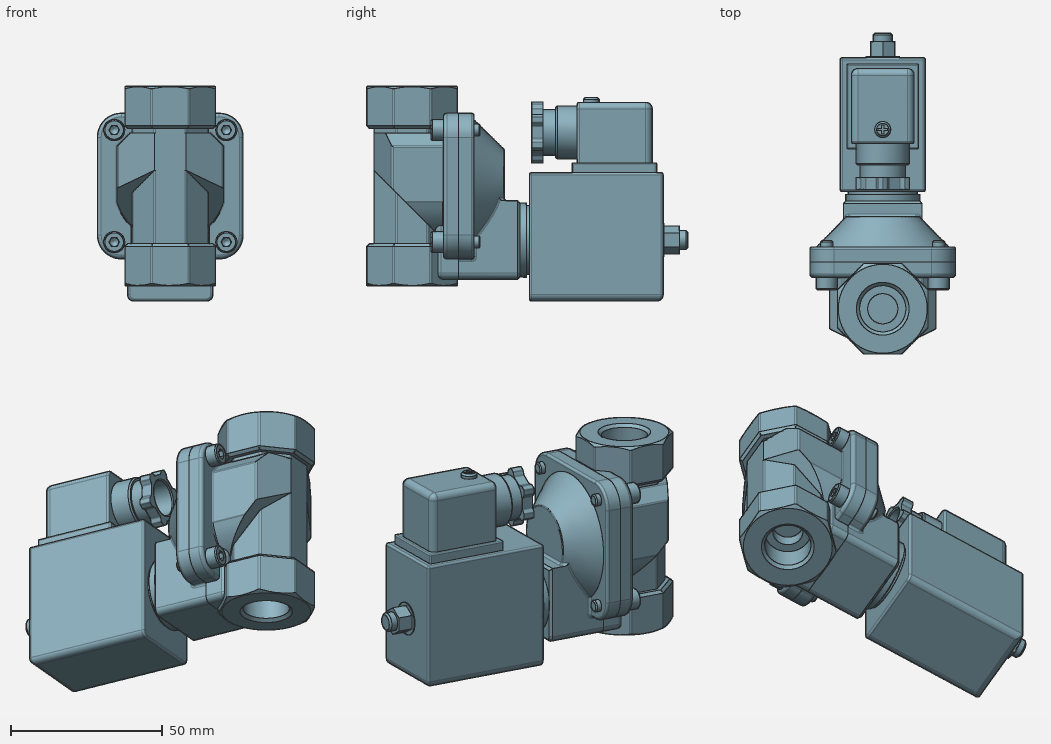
import cadquery as cq
import math


OVERALL_LENGTH = 106
OVERALL_HEIGHT = 70.9

HEXAGON_SIDES = 6

SELECT_TOLERANCE = 0.01

PORT_HALF_LENGTH = 33.0
PORT_FLATS = 30.0
PORT_SIDES = 8
PORT_END_LENGTH = 14.0
PORT_EDGE_ROUND = 1.0
PORT_INNER_CHAMFER = 1.0
PORT_FACE_DIAMETER = 29.4
PORT_TURNING_ANGLE = 30
PORT_BORE = 15.3
PORT_BORE_CHAMFER = 1.1
PORT_BORE_DEPTH = 10.0
PASSAGE_DIAMETER = 10.0
PASSAGE_DEPTH = 14.9
COLUMN_FLATS = 25.2
COLUMN_EDGE_ROUND = 1.0

CHAMBER_HALF_WIDTH = 17.6
CHAMBER_TOP = 17.6
CHAMBER_CHAMFER = 4.5
CHAMBER_RADIUS = 18.3
CHAMBER_EDGE_ROUND = 0.8
CHAMBER_ROOT_FILLET = 0.3
CHAMBER_SHOULDER_Y = -6.7
CHAMBER_SLOPE_OFFSET = 7.4

FLANGE_WIDTH = 48.1
FLANGE_CORNER = 8.0
BODY_FLANGE_ROUND = 1.3
BONNET_FLANGE_ROUND = 0.8
BODY_FLANGE_FRONT = 10.3
PARTING_Y = 15.4
BONNET_FLANGE_BACK = 20.5

BOLT_SPACING = 37.0
BOLT_SHANK = 4.0
BOLT_TIP_Y = 22.5
BOLT_TIP_CHAMFER = 0.4
BOLT_HEAD_DIAMETER = 7.0
BOLT_HEAD_HEIGHT = 4.0
BOLT_HEAD_CHAMFER = 0.4
SOCKET_FLATS = 3.0
SOCKET_DEPTH = 2.0
SOCKET_POINT_ANGLE = 30

CONE_BASE_RADIUS = 21.8
CONE_TOP_RADIUS = 12.1
CONE_TOP_Y = 30.4
CONE_TOP_ROUND = 0.6
PILOT_FILLET = 0.8
PILOT_SIZE = 26.0
PILOT_BACK = 35.6
PILOT_FRONT = 7.6
PILOT_CORNER = 2.1
PILOT_NOSE_ROUND = 1.9
PILOT_EDGE_CHAMFER = 0.8
SOLENOID_Z = -17.8
COLLAR_DIAMETER = 24.6
COLLAR_LENGTH = 2.1
COLLAR_NECK_DIAMETER = 22.9
STUD_DIAMETER = 6.4
STUD_END_CHAMFER = 0.6
STUD_END = OVERALL_LENGTH - PORT_FLATS / 2

COIL_FRONT = 38.7
COIL_BACK = 82.9
COIL_HALF_WIDTH = 14.1
COIL_TOP = 4.5
COIL_BOTTOM = PORT_HALF_LENGTH - OVERALL_HEIGHT
COIL_EDGE_ROUND = 0.7
COIL_BOTTOM_ROUND = 2.1

WASHER_DIAMETER = 11.0
WASHER_THICKNESS = 0.3
NUT_FLATS = 8.1
NUT_END = 88.2

SEAL_FRONT = 52.8
SEAL_BACK = 80.8
SEAL_HALF_WIDTH = 11.9
SEAL_TOP = 7.6
SEAL_SIDE_ROUND = 0.5
SEAL_TOP_ROUND = 0.4
PLUG_FRONT = 54.5
PLUG_BACK = 79.3
PLUG_HALF_WIDTH = 10.4
PLUG_TOP = 27.7
PLUG_ROUND = 2.2
PLUG_FRONT_ROUND = 0.7
GLAND_Z = 17.7
GLAND_DIAMETER = 17.6
GLAND_FRONT = 47.4
GLAND_CHAMFER = 0.5
GLAND_NECK_DIAMETER = 15.2
STAR_BACK = 43.2
STAR_FRONT = 39.4
STAR_CORNER_DIAMETER = 20.4
STAR_SIDES = 6
GRIP_DEPTH = 1.1
GRIP_FLOOR_WIDTH = 4.0
GRIP_MOUTH_WIDTH = 6.6
STAR_EDGE_ROUND = 0.3
CABLE_BORE = 12.0
CABLE_BORE_CHAMFER = 0.4
PLUG_SCREW_Y = 59.1
PLUG_SCREW_DIAMETER = 5.3
PLUG_SCREW_HEIGHT = 1.6
PLUG_SCREW_CHAMFER = 0.6
CROSS_LENGTH = 3.1
CROSS_WIDTH = 0.7
CROSS_DEPTH = 0.6


def plane_y(y, z=0):
    """Sketch plane at a given Y: sketch x is X, sketch y is Z."""
    return cq.Workplane("XZ", origin=(0, y, z))


def cylinder_y(diameter, y_start, y_end, z=0):
    return plane_y(y_start, z).circle(diameter / 2).extrude(y_start - y_end)


def box_between(x_half, y_start, y_end, z_start, z_end):
    size = (2 * x_half, y_end - y_start, z_end - z_start)
    return cq.Workplane("XY").box(*size, centered=(True, False, False)).translate((0, y_start, z_start))


def octagon(flats, z_start, z_end, edge_round):
    """Octagonal bar along Z with flats facing X and Y."""
    corner_diameter = flats / math.cos(math.pi / PORT_SIDES)
    bar = cq.Workplane("XY", origin=(0, 0, z_start)).polygon(PORT_SIDES, corner_diameter)
    bar = bar.extrude(z_end - z_start).rotate((0, 0, 0), (0, 0, 1), 180 / PORT_SIDES)
    return bar.edges("|Z").fillet(edge_round)


def bolt_plane(y):
    return plane_y(y).rect(BOLT_SPACING, BOLT_SPACING, forConstruction=True).vertices()


def flange(y_start, y_end, rounded_side, edge_round):
    plate = plane_y(y_start).rect(FLANGE_WIDTH, FLANGE_WIDTH).extrude(y_start - y_end)
    plate = plate.edges("|Y").fillet(FLANGE_CORNER)
    return plate.faces(rounded_side).edges().fillet(edge_round)


def pilot_block(y_start, y_end):
    block = plane_y(y_start, SOLENOID_Z).rect(PILOT_SIZE, PILOT_SIZE).extrude(y_start - y_end)
    return block.edges("|Y and <Z").fillet(PILOT_CORNER)


def port_end():
    """Upper port end, with its outer corners turned off conically."""
    inner_z = PORT_HALF_LENGTH - PORT_END_LENGTH
    end = octagon(PORT_FLATS, inner_z, PORT_HALF_LENGTH, PORT_EDGE_ROUND)
    end = end.faces("<Z").edges().chamfer(PORT_INNER_CHAMFER)
    face_radius = PORT_FACE_DIAMETER / 2
    outer_radius = PORT_FLATS
    turned_z = PORT_HALF_LENGTH - (outer_radius - face_radius) * math.tan(math.radians(PORT_TURNING_ANGLE))
    turned = (
        cq.Workplane("XZ")
        .moveTo(0, inner_z)
        .lineTo(outer_radius, inner_z)
        .lineTo(outer_radius, turned_z)
        .lineTo(face_radius, PORT_HALF_LENGTH)
        .lineTo(0, PORT_HALF_LENGTH)
        .close()
        .revolve(360, (0, 0, 0), (0, 1, 0))
    )
    return end.intersect(turned)


def port_bore():
    bore = cq.Workplane("XY", origin=(0, 0, PORT_HALF_LENGTH)).circle(PORT_BORE / 2).extrude(-PORT_BORE_DEPTH)
    passage = cq.Workplane("XY", origin=(0, 0, PORT_HALF_LENGTH)).circle(PASSAGE_DIAMETER / 2)
    mouth = cq.Solid.makeCone(
        PORT_BORE / 2,
        PORT_BORE / 2 + PORT_BORE_CHAMFER,
        PORT_BORE_CHAMFER,
        cq.Vector(0, 0, PORT_HALF_LENGTH - PORT_BORE_CHAMFER),
    )
    return bore.union(passage.extrude(-PASSAGE_DEPTH)).union(cq.Workplane(mouth))


def chamber():
    """Chamber: the common volume of a plan outline, a front outline and a 45 degree underside."""
    column_half = COLUMN_FLATS / 2
    nose_half = column_half * math.tan(math.pi / PORT_SIDES)
    plan = (
        cq.Workplane("XY", origin=(0, 0, -CHAMBER_RADIUS))
        .moveTo(CHAMBER_HALF_WIDTH, BODY_FLANGE_FRONT)
        .lineTo(CHAMBER_HALF_WIDTH, CHAMBER_SHOULDER_Y)
        .lineTo(nose_half, -column_half)
        .lineTo(-nose_half, -column_half)
        .lineTo(-CHAMBER_HALF_WIDTH, CHAMBER_SHOULDER_Y)
        .lineTo(-CHAMBER_HALF_WIDTH, BODY_FLANGE_FRONT)
        .close()
        .extrude(CHAMBER_TOP + CHAMBER_RADIUS)
    )
    plan = plan.edges("|Z").edges("not >Y").edges("<X or >X").fillet(CHAMBER_EDGE_ROUND)
    round_start_z = -math.sqrt(CHAMBER_RADIUS**2 - CHAMBER_HALF_WIDTH**2)
    top_half = CHAMBER_HALF_WIDTH - CHAMBER_CHAMFER
    front = (
        plane_y(-column_half)
        .moveTo(-top_half, CHAMBER_TOP)
        .lineTo(top_half, CHAMBER_TOP)
        .lineTo(CHAMBER_HALF_WIDTH, CHAMBER_TOP - CHAMBER_CHAMFER)
        .lineTo(CHAMBER_HALF_WIDTH, round_start_z)
        .threePointArc((0, -CHAMBER_RADIUS), (-CHAMBER_HALF_WIDTH, round_start_z))
        .lineTo(-CHAMBER_HALF_WIDTH, CHAMBER_TOP - CHAMBER_CHAMFER)
        .close()
        .extrude(-column_half - BODY_FLANGE_FRONT)
    )
    front = front.edges("|Y").fillet(CHAMBER_EDGE_ROUND)
    slope_start = (-column_half, column_half - CHAMBER_SLOPE_OFFSET)
    slope_end = (BODY_FLANGE_FRONT, -BODY_FLANGE_FRONT - CHAMBER_SLOPE_OFFSET)
    side = (
        cq.Workplane("YZ", origin=(-CHAMBER_HALF_WIDTH, 0, 0))
        .moveTo(*slope_start)
        .lineTo(*slope_end)
        .lineTo(BODY_FLANGE_FRONT, CHAMBER_TOP)
        .lineTo(-column_half, CHAMBER_TOP)
        .close()
        .extrude(2 * CHAMBER_HALF_WIDTH)
    )
    return plan.intersect(front).intersect(side)


def chamber_on_flange():
    """Chamber joined to the body flange, with a small fillet all round its foot."""
    joined = flange(BODY_FLANGE_FRONT, PARTING_Y, "<Y", BODY_FLANGE_ROUND).union(chamber())
    foot_reach = CHAMBER_RADIUS + SELECT_TOLERANCE
    foot = cq.selectors.BoxSelector(
        (-foot_reach, BODY_FLANGE_FRONT - SELECT_TOLERANCE, -foot_reach),
        (foot_reach, BODY_FLANGE_FRONT + SELECT_TOLERANCE, foot_reach),
    )
    return joined.edges(foot).fillet(CHAMBER_ROOT_FILLET)


def make_valve_body():
    column_half_length = PORT_HALF_LENGTH - PORT_END_LENGTH
    body = octagon(COLUMN_FLATS, -column_half_length, column_half_length, COLUMN_EDGE_ROUND)
    body = body.union(chamber_on_flange())
    pilot = pilot_block(PILOT_FRONT, PARTING_Y)
    body = body.union(pilot.faces("<Y").edges("<Z").fillet(PILOT_NOSE_ROUND))
    upper_end = port_end()
    body = body.union(upper_end).union(upper_end.mirror("XY"))
    bore = port_bore()
    body = body.cut(bore).cut(bore.mirror("XY"))
    holes = bolt_plane(BODY_FLANGE_FRONT).circle(BOLT_SHANK / 2).extrude(BODY_FLANGE_FRONT - PARTING_Y)
    heads = bolt_plane(BODY_FLANGE_FRONT).circle(BOLT_HEAD_DIAMETER / 2).extrude(BOLT_HEAD_HEIGHT)
    return body.cut(holes).cut(heads)


def fillet_pilot_foot(bonnet):
    """Fillet the inner corners where the pilot block meets the cone and the flange."""
    half = PILOT_SIZE / 2
    pilot_top = SOLENOID_Z + half
    flange_bottom = -FLANGE_WIDTH / 2
    foot = cq.selectors.BoxSelector(
        (-half - SELECT_TOLERANCE, CONE_TOP_Y - 2 * CONE_TOP_ROUND, pilot_top - SELECT_TOLERANCE),
        (half + SELECT_TOLERANCE, CONE_TOP_Y + SELECT_TOLERANCE, pilot_top + SELECT_TOLERANCE),
    )
    for side_x in (-half, half):
        foot = foot + cq.selectors.BoxSelector(
            (side_x - SELECT_TOLERANCE, PARTING_Y + SELECT_TOLERANCE, flange_bottom - SELECT_TOLERANCE),
            (side_x + SELECT_TOLERANCE, CONE_TOP_Y, pilot_top - SELECT_TOLERANCE),
        )
    return bonnet.edges(foot).fillet(PILOT_FILLET)


def make_bonnet():
    cone_length = CONE_TOP_Y - BONNET_FLANGE_BACK
    cone_solid = cq.Solid.makeCone(
        CONE_BASE_RADIUS,
        CONE_TOP_RADIUS,
        cone_length,
        cq.Vector(0, BONNET_FLANGE_BACK, 0),
        cq.Vector(0, 1, 0),
    )
    cone = cq.Workplane(cone_solid).faces(">Y").edges().fillet(CONE_TOP_ROUND)
    pilot = pilot_block(PARTING_Y, PILOT_BACK).faces(">Y").edges().chamfer(PILOT_EDGE_CHAMFER)
    collar_end = PILOT_BACK + COLLAR_LENGTH
    bonnet = flange(PARTING_Y, BONNET_FLANGE_BACK, ">Y", BONNET_FLANGE_ROUND).union(cone).union(pilot)
    bonnet = fillet_pilot_foot(bonnet)
    bonnet = bonnet.union(cylinder_y(COLLAR_DIAMETER, PILOT_BACK, collar_end, SOLENOID_Z))
    bonnet = bonnet.union(cylinder_y(COLLAR_NECK_DIAMETER, collar_end, COIL_FRONT, SOLENOID_Z))
    stud = cylinder_y(STUD_DIAMETER, COIL_FRONT, STUD_END, SOLENOID_Z)
    bonnet = bonnet.union(stud.faces(">Y").edges().chamfer(STUD_END_CHAMFER))
    holes = bolt_plane(PARTING_Y).circle(BOLT_SHANK / 2).extrude(PARTING_Y - BOLT_TIP_Y)
    return bonnet.cut(holes)


def make_bolt(x, z):
    head_face = BODY_FLANGE_FRONT - BOLT_HEAD_HEIGHT
    head = cylinder_y(BOLT_HEAD_DIAMETER, head_face, BODY_FLANGE_FRONT)
    head = head.faces("<Y").edges().chamfer(BOLT_HEAD_CHAMFER)
    shank = cylinder_y(BOLT_SHANK, BODY_FLANGE_FRONT, BOLT_TIP_Y)
    shank = shank.faces(">Y").edges().chamfer(BOLT_TIP_CHAMFER)
    socket_corners = SOCKET_FLATS / math.cos(math.pi / HEXAGON_SIDES)
    socket = plane_y(head_face).polygon(HEXAGON_SIDES, socket_corners).extrude(-SOCKET_DEPTH)
    drill_radius = SOCKET_FLATS / 2
    drill_point = cq.Solid.makeCone(
        drill_radius,
        0,
        drill_radius * math.tan(math.radians(SOCKET_POINT_ANGLE)),
        cq.Vector(0, head_face + SOCKET_DEPTH, 0),
        cq.Vector(0, 1, 0),
    )
    bolt = head.union(shank).cut(socket).cut(cq.Workplane(drill_point))
    return bolt.translate((x, 0, z))


def make_coil():
    coil = box_between(COIL_HALF_WIDTH, COIL_FRONT, COIL_BACK, COIL_BOTTOM, COIL_TOP)
    coil = coil.faces("<Z").edges(">Y or <X or >X").fillet(COIL_BOTTOM_ROUND)
    coil = coil.edges("|Z").fillet(COIL_EDGE_ROUND)
    coil = coil.faces(">Z").edges().fillet(COIL_EDGE_ROUND)
    return coil.cut(cylinder_y(STUD_DIAMETER, COIL_FRONT, COIL_BACK, SOLENOID_Z))


def make_nut():
    washer_end = COIL_BACK + WASHER_THICKNESS
    washer = cylinder_y(WASHER_DIAMETER, COIL_BACK, washer_end, SOLENOID_Z)
    nut_corners = NUT_FLATS / math.cos(math.pi / HEXAGON_SIDES)
    hexagon = plane_y(washer_end).polygon(HEXAGON_SIDES, nut_corners).extrude(washer_end - NUT_END)
    hexagon = hexagon.rotate((0, 0, 0), (0, 1, 0), 180 / HEXAGON_SIDES).translate((0, 0, SOLENOID_Z))
    return washer.union(hexagon).cut(cylinder_y(STUD_DIAMETER, COIL_BACK, NUT_END, SOLENOID_Z))


def star_nut():
    """Clamping nut of the cable gland: a hexagon with a grip recess in the middle of each side."""
    star = plane_y(STAR_FRONT).polygon(STAR_SIDES, STAR_CORNER_DIAMETER).extrude(STAR_FRONT - STAR_BACK)
    side_distance = STAR_CORNER_DIAMETER / 2 * math.cos(math.pi / STAR_SIDES)
    grip = (
        plane_y(STAR_FRONT)
        .moveTo(-GRIP_MOUTH_WIDTH / 2, side_distance)
        .lineTo(-GRIP_FLOOR_WIDTH / 2, side_distance - GRIP_DEPTH)
        .lineTo(GRIP_FLOOR_WIDTH / 2, side_distance - GRIP_DEPTH)
        .lineTo(GRIP_MOUTH_WIDTH / 2, side_distance)
        .close()
        .extrude(STAR_FRONT - STAR_BACK)
    )
    for index in range(STAR_SIDES):
        star = star.cut(grip.rotate((0, 0, 0), (0, 1, 0), index * 360 / STAR_SIDES))
    star = star.edges("|Y").fillet(STAR_EDGE_ROUND)
    star = star.cut(cylinder_y(CABLE_BORE, STAR_FRONT, STAR_BACK))
    star = star.faces("<Y").edges(cq.selectors.RadiusNthSelector(-1)).chamfer(CABLE_BORE_CHAMFER)
    return star.rotate((0, 0, 0), (0, 1, 0), 180 / STAR_SIDES).translate((0, 0, GLAND_Z))


def plug_screw():
    screw = cq.Workplane("XY", origin=(0, PLUG_SCREW_Y, PLUG_TOP))
    screw = screw.circle(PLUG_SCREW_DIAMETER / 2).extrude(PLUG_SCREW_HEIGHT)
    screw = screw.faces(">Z").edges().chamfer(PLUG_SCREW_CHAMFER)
    cross = screw.faces(">Z").workplane().rect(CROSS_LENGTH, CROSS_WIDTH).extrude(-CROSS_DEPTH, combine=False)
    upright = cross.rotate((0, PLUG_SCREW_Y, 0), (0, PLUG_SCREW_Y, 1), 90)
    return screw.cut(cross).cut(upright)


def make_connector():
    seal = box_between(SEAL_HALF_WIDTH, SEAL_FRONT, SEAL_BACK, COIL_TOP, SEAL_TOP)
    seal = seal.edges("|Z").fillet(SEAL_SIDE_ROUND).faces(">Z").edges().fillet(SEAL_TOP_ROUND)
    plug = box_between(PLUG_HALF_WIDTH, PLUG_FRONT, PLUG_BACK, SEAL_TOP, PLUG_TOP)
    plug = plug.edges("(|Z and >Y) or (>Z and (>Y or >X or <X))").fillet(PLUG_ROUND)
    plug = plug.faces("<Y").edges("not <Z").fillet(PLUG_FRONT_ROUND)
    gland = cylinder_y(GLAND_DIAMETER, GLAND_FRONT, PLUG_FRONT, GLAND_Z)
    gland = gland.faces("<Y").edges().chamfer(GLAND_CHAMFER)
    neck = cylinder_y(GLAND_NECK_DIAMETER, STAR_BACK, GLAND_FRONT, GLAND_Z)
    connector = seal.union(plug).union(gland).union(neck)
    connector = connector.union(star_nut()).union(plug_screw())
    return connector.cut(cylinder_y(CABLE_BORE, STAR_BACK, PLUG_FRONT, GLAND_Z))


valve_body = make_valve_body()
bonnet = make_bonnet()
half_spacing = BOLT_SPACING / 2
bolts = [make_bolt(x, z) for x in (-half_spacing, half_spacing) for z in (-half_spacing, half_spacing)]
coil = make_coil()
nut = make_nut()
connector = make_connector()

result = cq.Compound.makeCompound(
    [
        valve_body.solids().val(),
        bonnet.solids().val(),
        *[bolt.solids().val() for bolt in bolts],
        coil.solids().val(),
        nut.solids().val(),
        connector.solids().val(),
    ]
)